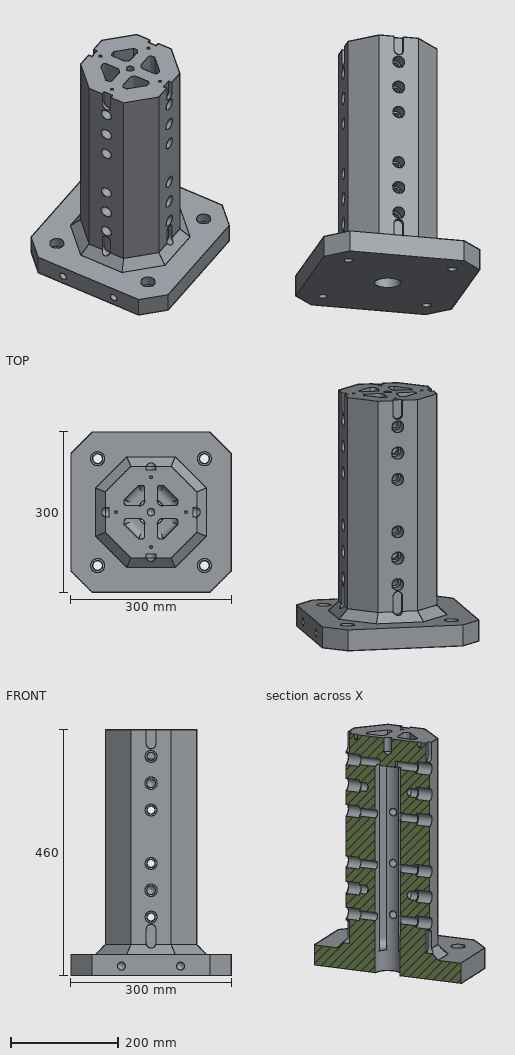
import cadquery as cq
import math

base_side = 300.0
base_thickness = 40.0
base_corner = 40.0
bolt_offset = 100.0
bolt_diameter = 18.0
bolt_counterbore = 26.0
bolt_counterbore_depth = 20.0
side_hole_diameter = 14.5
side_hole_depth = 23.0
side_hole_offset = 55.0
side_hole_height = 18.0

total_height = 460.0
column_width = 171.0
column_corner = 48.0
skirt_height = 18.0
skirt_angle = 45

wall = 35.5
web_thickness = 24.0
cavity_floor = base_thickness
floor_radius = 15.5
web_root_radius = 5.0
hub_radius = 10.0
bore_diameter = 50.0
bore_top = 405.0

hole_pitch = 50.0
row_tops = (209.8, 410.0)
open_diameter = 14.5
open_counterbore = 22.0
open_depth = 69.0
blind_diameter = 16.0
blind_counterbore = 23.0
blind_depth = 41.5
counterbore_depth = 27.5

key_width = 18.0
key_depth = 7.0
upper_key_end = 424.0
lower_key_end = 51.5
lower_key_length = 44.5

center_diameter = 14.0
center_depth = 27.5
pin_diameter = 5.0
pin_offset = 65.5
pin_depth = 9.0

drill_tip_angle = 118.0

corner_growth = 2 - math.sqrt(2)


def cut_square(width, corner):
    """Sketch of a square whose four corners are cut off at 45 degrees."""
    return cq.Sketch().rect(width, width).vertices().chamfer(corner)


def drill(diameter, depth):
    """Blind drilled hole running down from the origin, with a conical tip."""
    radius = diameter / 2
    tip = radius / math.tan(math.radians(drill_tip_angle / 2))
    profile = [(0, 0), (radius, 0), (radius, -depth), (0, -depth - tip)]
    return cq.Workplane("XZ").polyline(profile).close().revolve(360, (0, 0), (0, 1))


def rod(diameter, depth):
    """Flat-ended hole running down from the origin."""
    return cq.Workplane("XY").circle(diameter / 2).extrude(-depth)


def on_front(tool, face_y, x, z):
    """Turn a downward hole so that it runs toward +Y from a face at face_y."""
    return tool.rotate((0, 0, 0), (1, 0, 0), 90).translate((x, face_y, z))


def around(tool):
    """Four copies of a tool, one for each main face of the column."""
    copies = tool
    for angle in (90, 180, 270):
        copies = copies.union(tool.rotate((0, 0, 0), (0, 0, 1), angle))
    return copies


def outer_body():
    base = cq.Workplane("XY").placeSketch(cut_square(base_side, base_corner)).extrude(base_thickness)
    column = (
        cq.Workplane("XY", origin=(0, 0, base_thickness))
        .placeSketch(cut_square(column_width, column_corner))
        .extrude(total_height - base_thickness)
    )
    skirt_width = column_width + 2 * skirt_height
    skirt_corner = column_corner + skirt_height * corner_growth
    skirt = (
        cq.Workplane("XY", origin=(0, 0, base_thickness))
        .placeSketch(cut_square(skirt_width, skirt_corner))
        .extrude(skirt_height, taper=skirt_angle)
    )
    return base.union(column).union(skirt)


def pockets():
    """Octagonal cavity split into four pockets by crossed webs."""
    cavity_width = column_width - 2 * wall
    cavity_corner = column_corner - wall * corner_growth
    depth = total_height - cavity_floor
    cavity = (
        cq.Workplane("XY", origin=(0, 0, cavity_floor))
        .placeSketch(cut_square(cavity_width, cavity_corner))
        .extrude(depth)
        .faces("<Z")
        .edges()
        .fillet(floor_radius)
    )
    half_web = web_thickness / 2
    quadrant_side = cavity_width / 2 - half_web
    quadrant = (
        cq.Workplane("XY", origin=(half_web, half_web, cavity_floor))
        .rect(quadrant_side, quadrant_side, centered=False)
        .extrude(depth)
        .edges("|Z and <X and <Y")
        .fillet(hub_radius)
        .edges("|Z and ((<X and >Y) or (>X and <Y))")
        .fillet(web_root_radius)
    )
    return cavity.intersect(around(quadrant))


def key(length, middle_z):
    """Round-ended keyway cut, open outward past the skirt."""
    bottom_y = -column_width / 2 + key_depth
    return (
        cq.Workplane("XZ", origin=(0, bottom_y, middle_z))
        .slot2D(length, key_width, 90)
        .extrude(key_depth + skirt_height)
    )


def face_features():
    """Holes and keyways of the -Y face of the column."""
    face_y = -column_width / 2
    open_hole = rod(open_diameter, open_depth).union(rod(open_counterbore, counterbore_depth))
    blind_hole = drill(blind_diameter, blind_depth).union(rod(blind_counterbore, counterbore_depth))

    upper_length = 2 * (total_height - upper_key_end)
    upper_key = key(upper_length, total_height)
    tools = upper_key.union(key(lower_key_length, lower_key_end + lower_key_length / 2))
    for top in row_tops:
        for step, hole in enumerate((open_hole, blind_hole, open_hole)):
            tools = tools.union(on_front(hole, face_y, 0, top - step * hole_pitch))
    return tools


def center_bore():
    """Bore up through the base and the crossing of the webs, closed just below the top."""
    return cq.Workplane("XY").circle(bore_diameter / 2).extrude(bore_top)


def top_holes():
    """Central hole and four pin holes, drilled down from the top face."""
    center = drill(center_diameter, center_depth).translate((0, 0, total_height))
    pin = drill(pin_diameter, pin_depth).translate((0, -pin_offset, total_height))
    return around(pin).union(center)


def base_bolts():
    """Counterbored through holes in the four corners of the base."""
    bolt = rod(bolt_diameter, base_thickness).union(rod(bolt_counterbore, bolt_counterbore_depth))
    return around(bolt.translate((bolt_offset, bolt_offset, base_thickness)))


def base_side_holes():
    """Pair of blind holes in the -Y edge of the base."""
    hole = drill(side_hole_diameter, side_hole_depth)
    left = on_front(hole, -base_side / 2, -side_hole_offset, side_hole_height)
    right = on_front(hole, -base_side / 2, side_hole_offset, side_hole_height)
    return left.union(right)


result = outer_body()
for tool in (
    pockets(),
    center_bore(),
    around(face_features()),
    top_holes(),
    base_bolts(),
    base_side_holes(),
):
    result = result.cut(tool)